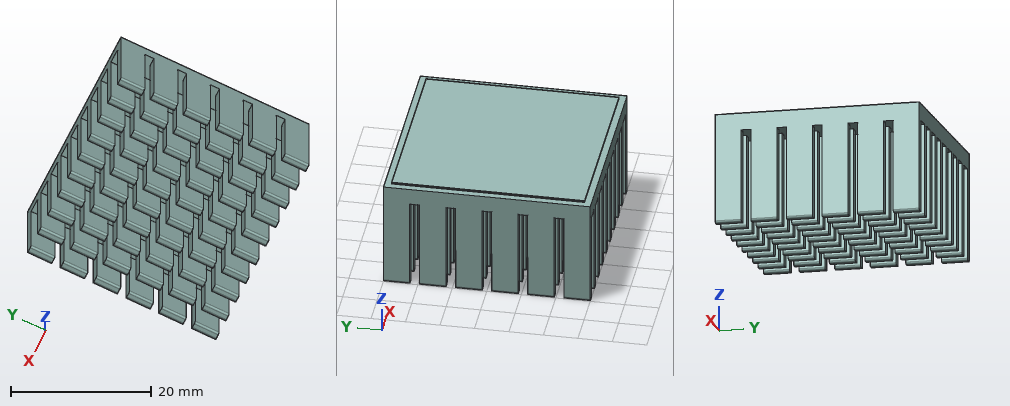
import cadquery as cq

side = 30.0
sink_height = 16.0
base_thickness = 2.5
tip_radius = 0.3

fin_count = 10
fin_thickness = 1.2

blade_count = 6
blade_gap = 1.4

pad_side = 28.0
pad_thickness = 0.3
layer_count = 4

fin_height = sink_height - base_thickness
fin_pitch = (side - fin_thickness) / (fin_count - 1)
blade_width = (side - (blade_count - 1) * blade_gap) / blade_count
blade_pitch = blade_width + blade_gap
layer_thickness = pad_thickness / layer_count


def centred_positions(count, pitch):
    """Positions of evenly spaced items, centred on zero."""
    return [(i - (count - 1) / 2) * pitch for i in range(count)]


def make_fin():
    """One full-length fin standing on Z = 0, with both long tip edges rounded."""
    fin = cq.Workplane("XY").box(fin_thickness, side, fin_height, centered=(True, True, False))
    return fin.edges("|Y and <Z").fillet(tip_radius)


def make_heat_sink():
    """Base plate with a grid of downward blades, fin tips on Z = 0."""
    base = cq.Workplane("XY").box(side, side, base_thickness, centered=(True, True, False))
    sink = base.translate((0, 0, fin_height))
    fin = make_fin()
    for x in centred_positions(fin_count, fin_pitch):
        sink = sink.union(fin.translate((x, 0, 0)))
    cross_cut = cq.Workplane("XY").box(side, blade_gap, fin_height, centered=(True, True, False))
    for y in centred_positions(blade_count - 1, blade_pitch):
        sink = sink.cut(cross_cut.translate((0, y, 0)))
    return sink


def make_pad_layer(level):
    """One square layer of the pad, counted upward from the base."""
    layer = cq.Workplane("XY").box(pad_side, pad_side, layer_thickness, centered=(True, True, False))
    return layer.translate((0, 0, sink_height + level * layer_thickness))


heat_sink = make_heat_sink()
pad_layers = [make_pad_layer(level) for level in range(layer_count)]

result = cq.Compound.makeCompound([heat_sink.val(), *[layer.val() for layer in pad_layers]])